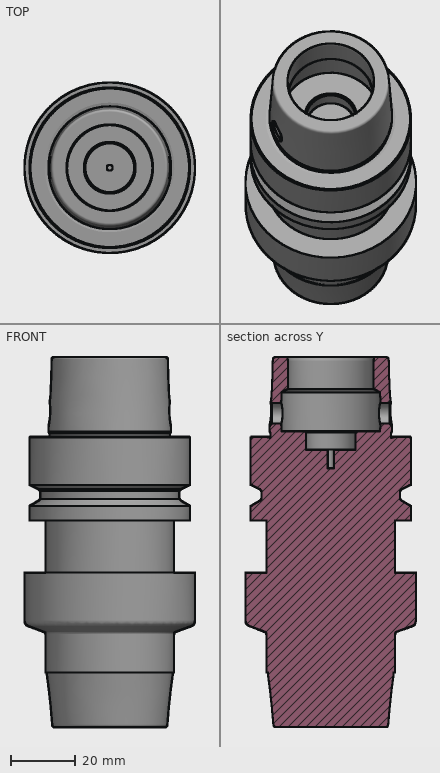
import cadquery as cq
import math

total_height = 114.9
nose_top = 17.0
collar_bottom = 29.4
collar_top = 48.0
flange_bottom = 64.1
groove_bottom = 70.3
groove_top = 73.9
flange_top = 90.2
taper_bottom = 91.8

nose_tip_radius = 17.8
nose_root_radius = 19.6
body_radius = 20.0
collar_diameter = 53.0
collar_radius = collar_diameter / 2
flange_radius = 24.9
groove_radius = 21.6
neck_radius = 18.7
taper_root_radius = 19.1
taper_tip_radius = 18.0

nose_round = 0.9
collar_round = 1.7
collar_rise = 2.4
collar_root_round = 0.7
groove_upper_flare = 1.4
groove_lower_flare = 1.6
groove_step = 0.6
flange_chamfer = 0.3
neck_step = 0.6
relief_radius = 20.1
relief_depth = 0.3
tip_round = 0.8

bore_radius = 13.2
bore_chamfer_width = 0.2
bore_chamfer_height = 1.1
clamp_edge = 105.0
clamp_radius = 15.3
clamp_angle = 30.0
bore_floor = 91.9
pocket_radius = 7.6
pocket_chamfer = 0.5
pocket_depth = 5.7
coolant_radius = 0.9
coolant_depth = 5.7

cross_radius = 3.1
cross_height = 97.4
cross_chamfer = 0.6


def cylinder(radius, bottom, top):
    return cq.Workplane("XY").workplane(offset=bottom).circle(radius).extrude(top - bottom)


def revolve_profile(points):
    return cq.Workplane("YZ").polyline(points).close().revolve(360, (0, 0, 0), (0, 1, 0))


def nose():
    cone = revolve_profile([
        (0, 0),
        (nose_tip_radius, 0),
        (nose_root_radius, nose_top),
        (0, nose_top),
    ])
    return cone.faces("<Z").edges().fillet(nose_round)


def body_with_collar():
    corner_height = collar_bottom + collar_rise
    solid = revolve_profile([
        (0, nose_top),
        (body_radius, nose_top),
        (body_radius, collar_bottom),
        (collar_radius, corner_height),
        (collar_radius, collar_top),
        (body_radius, collar_top),
        (body_radius, flange_bottom),
        (0, flange_bottom),
    ])

    def ring_at(height, radius):
        return cq.selectors.BoxSelector(
            (-radius - 1.1, -radius - 1.1, height - 0.1),
            (radius + 1.1, radius + 1.1, height + 0.1),
            boundingbox=True,
        )

    solid = solid.edges(ring_at(corner_height, collar_radius)).fillet(collar_round)
    return solid.edges(ring_at(collar_bottom, body_radius)).fillet(collar_root_round)


def flange():
    shoulder_radius = groove_radius + groove_step
    return revolve_profile([
        (0, flange_bottom),
        (flange_radius, flange_bottom),
        (flange_radius, groove_bottom - groove_lower_flare),
        (shoulder_radius, groove_bottom),
        (groove_radius, groove_bottom + groove_step),
        (groove_radius, groove_top - groove_step),
        (shoulder_radius, groove_top),
        (flange_radius, groove_top + groove_upper_flare),
        (flange_radius, flange_top - flange_chamfer),
        (flange_radius - flange_chamfer, flange_top),
        (relief_radius, flange_top),
        (neck_radius, flange_top - relief_depth),
        (0, flange_top - relief_depth),
    ])


def taper():
    solid = revolve_profile([
        (0, flange_top - relief_depth),
        (neck_radius, flange_top - relief_depth),
        (neck_radius, taper_bottom - neck_step),
        (taper_root_radius, taper_bottom),
        (taper_tip_radius, total_height),
        (0, total_height),
    ])
    return solid.faces(">Z").edges().fillet(tip_round)


def clamping_bore():
    clamp_drop = (clamp_radius - bore_radius) * math.tan(math.radians(clamp_angle))
    pocket_floor = bore_floor - pocket_depth
    bore = revolve_profile([
        (0, pocket_floor),
        (pocket_radius, pocket_floor),
        (pocket_radius, bore_floor - pocket_chamfer),
        (pocket_radius + pocket_chamfer, bore_floor),
        (clamp_radius, bore_floor),
        (clamp_radius, clamp_edge - clamp_drop),
        (bore_radius, clamp_edge),
        (bore_radius, total_height - bore_chamfer_height),
        (bore_radius + bore_chamfer_width, total_height),
        (0, total_height),
    ])
    return bore.union(cylinder(coolant_radius, pocket_floor - coolant_depth, pocket_floor))


def cross_hole():
    climb = (cross_height - taper_bottom) / (total_height - taper_bottom)
    wall_radius = taper_root_radius + (taper_tip_radius - taper_root_radius) * climb
    mouth_inner = wall_radius - cross_chamfer
    mouth_outer = wall_radius + cross_chamfer
    mouth_radius = cross_radius + 2 * cross_chamfer
    return (
        cq.Workplane("XZ")
        .polyline([
            (-mouth_outer, 0),
            (-mouth_outer, mouth_radius),
            (-mouth_inner, cross_radius),
            (mouth_inner, cross_radius),
            (mouth_outer, mouth_radius),
            (mouth_outer, 0),
        ])
        .close()
        .revolve(360, (0, 0, 0), (1, 0, 0))
        .translate((0, 0, cross_height))
    )


result = (
    nose()
    .union(body_with_collar())
    .union(flange())
    .union(taper())
    .cut(clamping_bore())
    .cut(cross_hole())
)